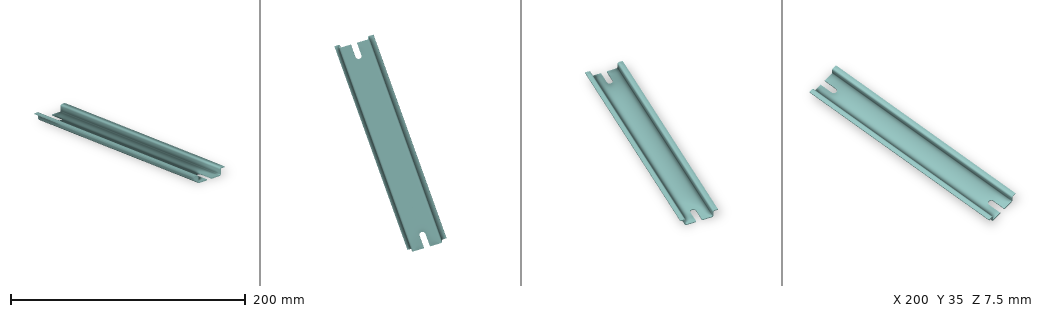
import cadquery as cq

length = 200.0
overall_width = 35.0
height = 7.5
thickness = 1.0
channel_width = 27.0
inner_bend_radius = 0.8
outer_bend_radius = inner_bend_radius + thickness

slot_width = 5.5
slot_depth = 15.0


def rail():
    """Floor, two side walls and two outward flanges with rounded bends."""
    wall_outside = channel_width / 2
    wall_inside = wall_outside - thickness
    flange_edge = overall_width / 2
    outline = [
        (-flange_edge, height),
        (-wall_inside, height),
        (-wall_inside, thickness),
        (wall_inside, thickness),
        (wall_inside, height),
        (flange_edge, height),
        (flange_edge, height - thickness),
        (wall_outside, height - thickness),
        (wall_outside, 0),
        (-wall_outside, 0),
        (-wall_outside, height - thickness),
        (-flange_edge, height - thickness),
    ]
    body = cq.Workplane("YZ").polyline(outline).close().extrude(length / 2, both=True)

    for side in (-1, 1):
        inner_bends = [
            (side * wall_inside, thickness),
            (side * wall_outside, height - thickness),
        ]
        outer_bends = [
            (side * wall_outside, 0),
            (side * wall_inside, height),
        ]
        for y, z in inner_bends:
            body = round_bend(body, y, z, inner_bend_radius)
        for y, z in outer_bends:
            body = round_bend(body, y, z, outer_bend_radius)
    return body


def round_bend(body, y, z, radius):
    """Round the lengthwise edge at (y, z)."""
    edge = cq.selectors.NearestToPointSelector((0, y, z))
    return body.edges("|X").edges(edge).fillet(radius)


def end_slots():
    """One round-tipped slot centred on each end face, so half of it cuts the rail."""
    return (
        cq.Workplane("XY")
        .pushPoints([(-length / 2, 0), (length / 2, 0)])
        .slot2D(2 * slot_depth, slot_width)
        .extrude(thickness)
    )


result = rail().cut(end_slots())